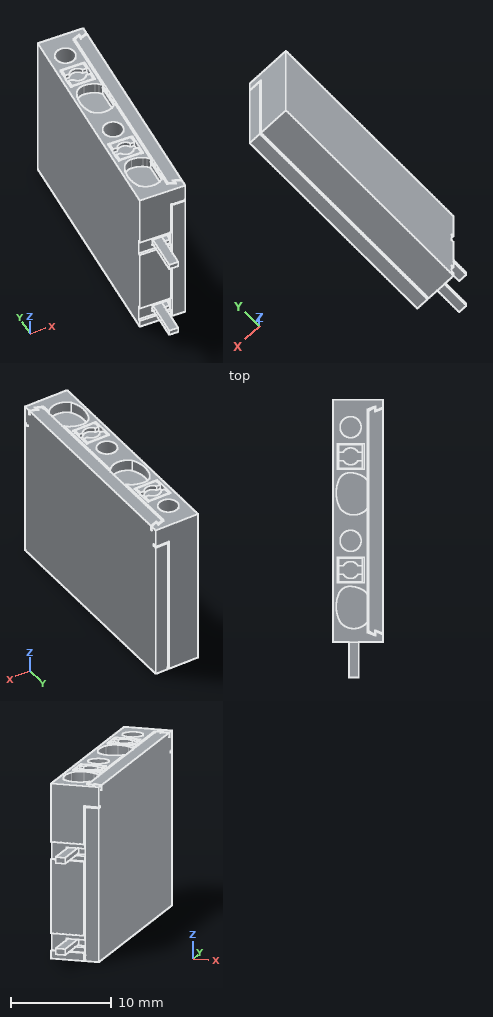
import cadquery as cq

WIDTH = 5.0
LENGTH = 24.18
HEIGHT = 18.0

GROOVE_LEFT = 3.43
GROOVE_WIDTH = 0.17
GROOVE_DEPTH = 0.5
PLATE_TOP = 15.95
SEAM_WIDTH = 0.15
ZIGZAG_X = 4.3
ZIGZAG_INSET = 0.97
ZIGZAG_RISE = 0.33
ZIGZAG_STEP = 0.45

STATION_PITCH = 11.33
STATION_SHIFTS = [0.0, -STATION_PITCH]
OPENING_X = 1.77
TEST_HOLE_Y = LENGTH - 2.75
TEST_HOLE_DIAMETER = 2.1
TEST_HOLE_DEPTH = 3.0
BUTTON_Y = LENGTH - 5.65
ENTRY_Y = LENGTH - 9.42
ENTRY_DEPTH = 1.27
ENTRY_LOWER_CORNER = (GROOVE_LEFT, -1.45)
ENTRY_LOWEST = (2.08, -2.08)
ENTRY_LOWER_LEFT = (0.78, -1.5)
ENTRY_LEFTMOST = (0.33, 0.0)
ENTRY_UPPER_LEFT = (0.6, 1.45)
ENTRY_HIGHEST = (1.65, 2.13)
ENTRY_FLAT_START = (2.8, 1.88)
ENTRY_FLAT_END = (3.13, 1.7)
ENTRY_UPPER_CORNER = (GROOVE_LEFT, 1.38)

BUTTON_SIZE = 2.35
BUTTON_HEIGHT = 3.0
POCKET_X = 2.7
POCKET_Y = 2.55
SLOT_WIDTH = 0.83
SLOT_DEPTH = 0.5
BUTTON_HOLE_DIAMETER = 1.7

PIN_LEVELS = [1.72, 11.1]
PIN_LEFT = 1.6
PIN_WIDTH = 1.0
PIN_THICKNESS = 0.6
OVERALL_LENGTH = 27.7
PIN_REACH = OVERALL_LENGTH - LENGTH
PIN_SLOT_LEFT = 1.5
PIN_SLOT_HEIGHT = 0.78
PIN_SLOT_DEPTH = 1.0
RECESS_HEIGHT = 1.77
RECESS_DEPTH = 0.28


def box(x0, x1, y0, y1, z0, z1):
    """Axis-aligned box between the given limits."""
    return cq.Workplane("XY").box(x1 - x0, y1 - y0, z1 - z0, centered=False).translate((x0, y0, z0))


def plate_outline(inset, left, step_x):
    """Points of the plate outline on the top face, with a zigzag at each end."""
    peak = inset - ZIGZAG_RISE
    valley = peak + ZIGZAG_STEP
    zigzag = [
        (left, inset),
        (step_x, peak),
        (step_x, valley),
        (WIDTH, valley - ZIGZAG_RISE),
    ]
    far_end = [(x, LENGTH - y) for x, y in reversed(zigzag)]
    return zigzag + far_end


def top_groove():
    """Ring between the housing edge and the plate edge, cut down from the top face."""
    floor = cq.Workplane("XY").workplane(offset=HEIGHT - GROOVE_DEPTH)
    housing_edge = plate_outline(ZIGZAG_INSET, GROOVE_LEFT, ZIGZAG_X)
    outer = floor.polyline(housing_edge).close().extrude(GROOVE_DEPTH)
    plate_edge = plate_outline(
        ZIGZAG_INSET + SEAM_WIDTH, GROOVE_LEFT + GROOVE_WIDTH, ZIGZAG_X - SEAM_WIDTH
    )
    inner = floor.polyline(plate_edge).close().extrude(GROOVE_DEPTH)
    return outer.cut(inner)


def end_groove(y0):
    """Groove in an end face, up the side of the plate and across its top."""
    y1 = y0 + GROOVE_DEPTH
    upright = box(GROOVE_LEFT, GROOVE_LEFT + GROOVE_WIDTH, y0, y1, 0, PLATE_TOP)
    across = box(GROOVE_LEFT, WIDTH, y0, y1, PLATE_TOP - SEAM_WIDTH, PLATE_TOP)
    return upright.union(across)


def bottom_groove():
    """Groove along the whole bottom face."""
    return box(GROOVE_LEFT, GROOVE_LEFT + GROOVE_WIDTH, 0, LENGTH, 0, GROOVE_DEPTH)


def test_hole():
    """Blind round hole in the top face."""
    return (
        cq.Workplane("XY", origin=(OPENING_X, TEST_HOLE_Y, HEIGHT - TEST_HOLE_DEPTH))
        .circle(TEST_HOLE_DIAMETER / 2)
        .extrude(TEST_HOLE_DEPTH)
    )


def wire_entry():
    """Egg-shaped blind opening, cut flat along the groove."""
    return (
        cq.Workplane("XY", origin=(0, ENTRY_Y, HEIGHT - ENTRY_DEPTH))
        .moveTo(*ENTRY_LOWER_CORNER)
        .threePointArc(ENTRY_LOWEST, ENTRY_LOWER_LEFT)
        .threePointArc(ENTRY_LEFTMOST, ENTRY_UPPER_LEFT)
        .tangentArcPoint(ENTRY_HIGHEST, relative=False)
        .tangentArcPoint(ENTRY_FLAT_START, relative=False)
        .lineTo(*ENTRY_FLAT_END)
        .lineTo(*ENTRY_UPPER_CORNER)
        .close()
        .extrude(ENTRY_DEPTH)
    )


def button_pocket():
    """Rectangular pocket that leaves a gap around a push button."""
    return (
        cq.Workplane("XY", origin=(OPENING_X, BUTTON_Y, HEIGHT - BUTTON_HEIGHT))
        .rect(POCKET_X, POCKET_Y)
        .extrude(BUTTON_HEIGHT)
    )


def pin_opening(level):
    """Shallow recess across the -Y end with a deeper slot for the pin."""
    recess = box(0, GROOVE_LEFT, 0, RECESS_DEPTH, level - RECESS_HEIGHT / 2, level + RECESS_HEIGHT / 2)
    half_slot = PIN_SLOT_HEIGHT / 2
    slot = box(PIN_SLOT_LEFT, GROOVE_LEFT, 0, PIN_SLOT_DEPTH, level - half_slot, level + half_slot)
    return recess.union(slot)


def make_housing():
    """Block with the plate outline, the top openings and the pin openings."""
    body = box(0, WIDTH, 0, LENGTH, 0, HEIGHT)
    body = body.cut(top_groove()).cut(bottom_groove())
    for end in (0, LENGTH - GROOVE_DEPTH):
        body = body.cut(end_groove(end))
    for shift in STATION_SHIFTS:
        for opening in (test_hole(), button_pocket(), wire_entry()):
            body = body.cut(opening.translate((0, shift, 0)))
    for level in PIN_LEVELS:
        body = body.cut(pin_opening(level))
    return body


def make_button(shift):
    """Square push button, flush with the top, with a screwdriver slot and a round recess."""
    center_y = BUTTON_Y + shift
    body = (
        cq.Workplane("XY", origin=(OPENING_X, center_y, HEIGHT - BUTTON_HEIGHT))
        .rect(BUTTON_SIZE, BUTTON_SIZE)
        .extrude(BUTTON_HEIGHT)
    )
    slot_floor = cq.Workplane("XY", origin=(OPENING_X, center_y, HEIGHT - SLOT_DEPTH))
    slot = slot_floor.rect(BUTTON_SIZE, SLOT_WIDTH).extrude(SLOT_DEPTH)
    hole = slot_floor.circle(BUTTON_HOLE_DIAMETER / 2).extrude(SLOT_DEPTH)
    return body.cut(slot).cut(hole)


def make_pin(level):
    """Rectangular solder pin standing on the floor of its slot."""
    half = PIN_THICKNESS / 2
    return box(PIN_LEFT, PIN_LEFT + PIN_WIDTH, -PIN_REACH, PIN_SLOT_DEPTH, level - half, level + half)


housing = make_housing()
buttons = [make_button(shift).val() for shift in STATION_SHIFTS]
pins = [make_pin(level).val() for level in PIN_LEVELS]

result = cq.Compound.makeCompound([housing.val(), *buttons, *pins])